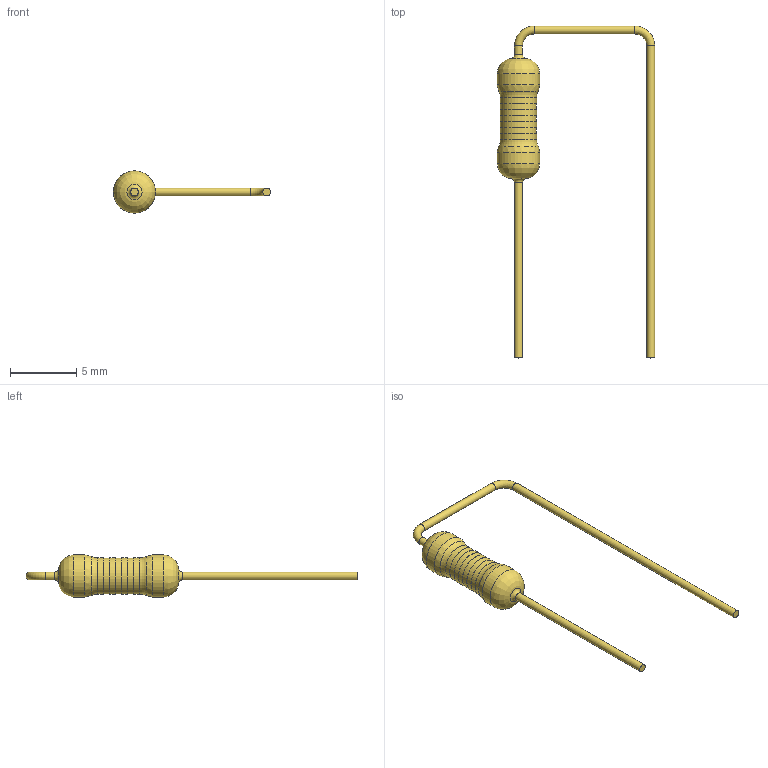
import cadquery as cq
import math


lead_diameter = 0.6
lead_radius = lead_diameter / 2
lead_pitch = 10.0
overall_length = 25.1
bend_radius = 1.2
return_y = overall_length - lead_radius
bend_start_y = return_y - bend_radius

body_setback = 7.0
body_center_y = overall_length - body_setback
cap_radius = 3.2 / 2
barrel_radius = 2.72 / 2
cap_outer = 3.405
cap_inner = 2.57
dome_radius = 1.135
neck_fillet = 0.3

band_radius = 2.74 / 2
band_count = 4
band_width = 0.453
band_pitch = 2 * band_width
band_row_half = (band_count - 0.5) * band_width


def bent_lead():
    """One continuous round wire through the body and around both bends."""
    corner_offset = bend_radius * (1 - math.sqrt(0.5))
    path = (
        cq.Workplane("XY")
        .moveTo(0, 0)
        .lineTo(0, bend_start_y)
        .threePointArc(
            (corner_offset, return_y - corner_offset),
            (bend_radius, return_y),
        )
        .lineTo(lead_pitch - bend_radius, return_y)
        .threePointArc(
            (lead_pitch - corner_offset, return_y - corner_offset),
            (lead_pitch, bend_start_y),
        )
        .lineTo(lead_pitch, 0)
    )
    return cq.Workplane("XZ").circle(lead_radius).sweep(path)


def body():
    """Dumbbell-shaped body of revolution, symmetric about its centre, in place on the lead."""
    shoulder_mid_y = (cap_inner + band_row_half) / 2
    shoulder_mid_radius = (cap_radius + barrel_radius) / 2

    dome_center_x = cap_radius - dome_radius
    fillet_center_x = lead_radius + neck_fillet
    center_dx = fillet_center_x - dome_center_x
    center_distance = dome_radius + neck_fillet
    neck_end = cap_outer + math.sqrt(center_distance**2 - center_dx**2)
    contact_ratio = dome_radius / center_distance
    contact_x = dome_center_x + contact_ratio * center_dx
    contact_y = cap_outer + contact_ratio * (neck_end - cap_outer)

    profile = (
        cq.Workplane("XY")
        .moveTo(barrel_radius, 0)
        .lineTo(barrel_radius, band_row_half)
        .tangentArcPoint((shoulder_mid_radius, shoulder_mid_y), relative=False)
        .tangentArcPoint((cap_radius, cap_inner), relative=False)
        .lineTo(cap_radius, cap_outer)
        .tangentArcPoint((contact_x, contact_y), relative=False)
        .tangentArcPoint((lead_radius, neck_end), relative=False)
        .lineTo(0, neck_end)
        .mirrorX()
    )
    solid = profile.revolve(360, (0, 0, 0), (0, 1, 0))
    return solid.clean().translate((0, body_center_y, 0))


def color_band(start_y):
    """A raised ring, built as a disc that merges with the barrel."""
    return (
        cq.Workplane("XZ", origin=(0, start_y, 0))
        .circle(band_radius)
        .extrude(-band_width)
    )


result = body()
for index in range(band_count):
    band_start = body_center_y - band_row_half + index * band_pitch
    result = result.union(color_band(band_start))
result = result.union(bent_lead())